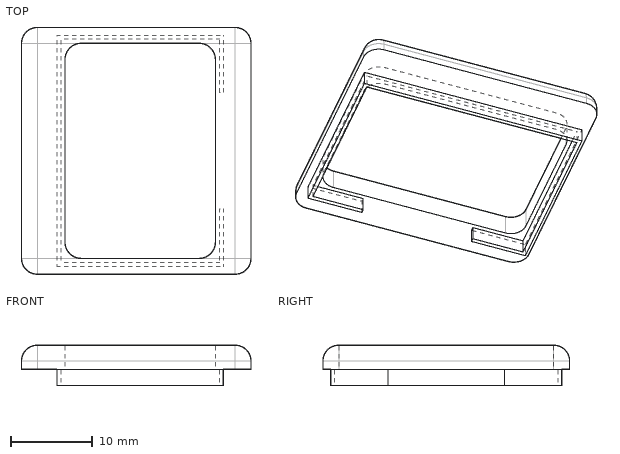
import cadquery as cq

frame_x = 28.27
frame_y = 30.4
frame_height = 2.98
edge_radius = 1.98

window_x = 18.48
window_y = frame_y - 2 * edge_radius
window_offset = 0.5
window_radius = 1.98

rim_inset = 0.52
rim_wall = 0.5
rim_height = 2.0
rim_inner_x = window_x + 2 * rim_inset
rim_inner_y = window_y + 2 * rim_inset
rim_x = rim_inner_x + 2 * rim_wall
rim_y = rim_inner_y + 2 * rim_wall

gap_length = 14.35


def make_frame():
    """Plate with rounded corners and top edge, pierced by the window."""
    plate = (
        cq.Workplane("XY")
        .box(frame_x, frame_y, frame_height, centered=(True, True, False))
        .edges("|Z or >Z")
        .fillet(edge_radius)
    )
    window = (
        cq.Workplane("XY")
        .center(window_offset, 0)
        .rect(window_x, window_y)
        .extrude(frame_height)
        .edges("|Z")
        .fillet(window_radius)
    )
    return plate.cut(window)


def make_rim():
    """Square-cornered rim, set back from the window walls and open on +X."""
    rim = (
        cq.Workplane("XY")
        .center(window_offset, 0)
        .rect(rim_x, rim_y)
        .rect(rim_inner_x, rim_inner_y)
        .extrude(-rim_height)
    )
    gap = (
        cq.Workplane("XY")
        .center(window_offset + (rim_inner_x + rim_wall) / 2, 0)
        .rect(2 * rim_wall, gap_length)
        .extrude(-rim_height)
    )
    return rim.cut(gap)


result = make_frame().union(make_rim())